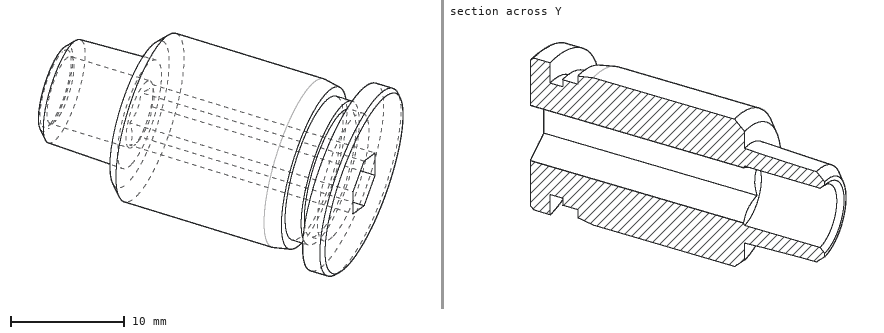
import cadquery as cq
import math

total_length = 29.4

stub_length = 8.0
stub_tip_radius = 4.75
stub_root_radius = 5.0
stub_chamfer = 0.82

body_end = 24.65
body_radius = 7.75
body_chamfer = 1.0
body_taper_length = 1.53
body_end_radius = 7.47

ring_end = 26.17
ring_radius = 6.62
neck_radius = 5.88

flange_start = 27.4
flange_thickness = total_length - flange_start
flange_width = 18.5
flange_height = 16.0
flange_chamfer = 0.35

bore_radius = 3.1
bore_depth = stub_length
bore_chamfer = 0.47
drill_point_angle = 118.0
hex_across_flats = 5.0
hex_across_corners = hex_across_flats / math.cos(math.pi / 6)


def revolve_about_x(profile_points):
    """Revolve a closed (x, radius) outline about the X axis."""
    outline = cq.Workplane("XY").polyline(profile_points).close()
    return outline.revolve(360, (0, 0, 0), (1, 0, 0))


def make_stepped_shaft():
    return revolve_about_x([
        (0, 0),
        (0, stub_tip_radius - stub_chamfer),
        (stub_chamfer, stub_tip_radius),
        (stub_length, stub_root_radius),
        (stub_length, body_radius - body_chamfer),
        (stub_length + body_chamfer, body_radius),
        (body_end - body_taper_length, body_radius),
        (body_end, body_end_radius),
        (body_end, ring_radius),
        (ring_end, ring_radius),
        (ring_end, neck_radius),
        (total_length, neck_radius),
        (total_length, 0),
    ])


def make_flange():
    flange = (
        cq.Workplane("YZ", origin=(flange_start, 0, 0))
        .ellipse(flange_width / 2, flange_height / 2)
        .extrude(flange_thickness)
    )
    return flange.faces(">X").edges().chamfer(flange_chamfer)


def make_bore():
    drill_point_length = bore_radius / math.tan(math.radians(drill_point_angle / 2))
    return revolve_about_x([
        (0, 0),
        (0, bore_radius + bore_chamfer),
        (bore_chamfer, bore_radius),
        (bore_depth, bore_radius),
        (bore_depth + drill_point_length, 0),
    ])


def make_hex_hole():
    return (
        cq.Workplane("YZ")
        .transformed(rotate=(0, 0, 90))
        .polygon(6, hex_across_corners)
        .extrude(total_length)
    )


result = make_stepped_shaft().union(make_flange()).cut(make_bore()).cut(make_hex_hole())